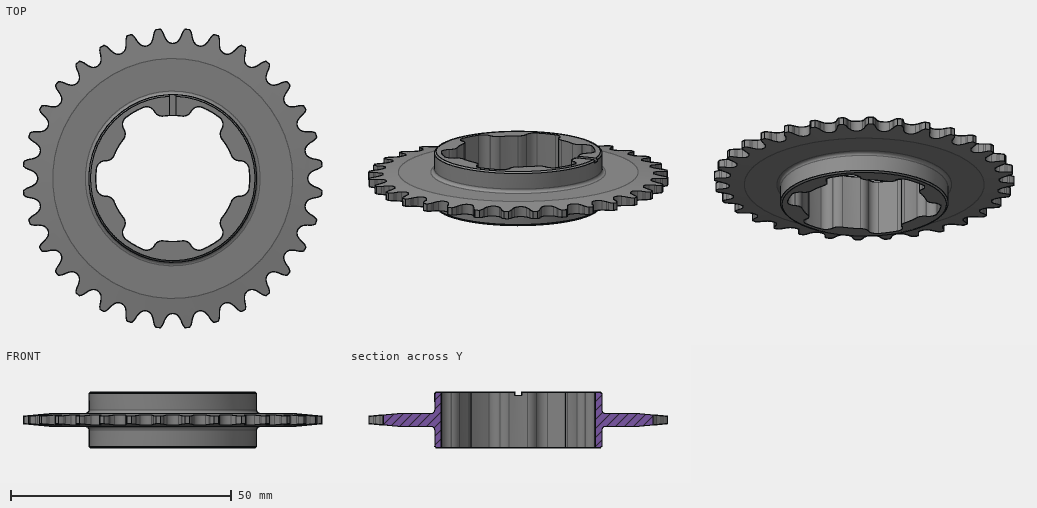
import math

import cadquery as cq

TOOTH_COUNT = 32
CHAIN_PITCH = 6.35
ROLLER_DIAMETER = 3.302
SEAT_CLEARANCE = 0.0381
OUTER_DIAMETER = 68.07

SEAT_RADIUS_RATIO = 0.5025
WORKING_OFFSET_RATIO = 0.8
TOPPING_OFFSET_RATIO = 1.4
SEAT_ANGLE = 35 + 60 / TOOTH_COUNT
WORKING_SWEEP = 18 - 56 / TOOTH_COUNT
TOPPING_ANGLE = 17 - 64 / TOOTH_COUNT
GAP_OVERCUT = 1.0

PLATE_THICKNESS = 3.0
TIP_THICKNESS = 1.7
TAPER_START_RADIUS = 27.25

HUB_HEIGHT = 12.7
HUB_RADIUS = 19.05
HUB_CHAMFER = 0.38
HUB_ROOT_FILLET = 0.8

LOBE_COUNT = 6
LAND_RADIUS = 14.3
LOBE_RADIUS = 17.45
LOBE_WIDTH = 8.0
LAND_FILLET = 2.0
LOBE_FILLET = 2.0
SLAB_LENGTH = 3 * LOBE_RADIUS
CORNER_TOLERANCE = 0.01

GROOVE_WIDTH = 1.5
GROOVE_DEPTH = 0.75

outer_radius = OUTER_DIAMETER / 2
half_pitch_angle = math.pi / TOOTH_COUNT
pitch_radius = CHAIN_PITCH / (2 * math.sin(half_pitch_angle))


def offset(point, distance, angle):
    """Point at a polar offset (angle in radians) from another point."""
    return (point[0] + distance * math.cos(angle), point[1] + distance * math.sin(angle))


def direction(start, end):
    """Angle of the line from start to end, from 0 to a full turn."""
    return math.atan2(end[1] - start[1], end[0] - start[0]) % math.tau


def circle_crossing(center, radius, big_radius):
    """Counter-clockwise crossing of a circle with the circle of big_radius about the origin."""
    center_distance = math.hypot(*center)
    cosine = (center_distance**2 + big_radius**2 - radius**2) / (2 * center_distance * big_radius)
    center_angle = math.atan2(center[1], center[0])
    return offset((0, 0), big_radius, center_angle + math.acos(cosine))


def tooth_gap():
    """Cutter for the gap between two teeth, centred on the +Y axis."""
    seat_angle = math.radians(SEAT_ANGLE)
    working_sweep = math.radians(WORKING_SWEEP)
    topping_angle = math.radians(TOPPING_ANGLE)
    seat_radius = SEAT_RADIUS_RATIO * ROLLER_DIAMETER + SEAT_CLEARANCE
    working_offset = WORKING_OFFSET_RATIO * ROLLER_DIAMETER
    working_radius = working_offset + seat_radius
    topping_offset = TOPPING_OFFSET_RATIO * ROLLER_DIAMETER
    flat_length = topping_offset * math.sin(topping_angle) - working_offset * math.sin(working_sweep)
    topping_radius = (
        working_offset * math.cos(working_sweep)
        + topping_offset * math.cos(topping_angle)
        - working_radius
    )

    seat_center = (0, pitch_radius)
    flank_angle = working_sweep - seat_angle
    working_center = offset(seat_center, working_offset, math.pi - seat_angle)
    topping_center = offset(seat_center, topping_offset, -half_pitch_angle)
    seat_bottom = offset(seat_center, seat_radius, -math.pi / 2)
    seat_end = offset(seat_center, seat_radius, -seat_angle)
    working_middle = offset(working_center, working_radius, flank_angle - working_sweep / 2)
    working_end = offset(working_center, working_radius, flank_angle)
    flat_end = offset(working_end, flat_length, flank_angle + math.pi / 2)
    tip = circle_crossing(topping_center, topping_radius, outer_radius)
    start_angle = direction(topping_center, flat_end)
    tip_angle = direction(topping_center, tip)
    topping_middle = offset(topping_center, topping_radius, (start_angle + tip_angle) / 2)
    opening_height = outer_radius + GAP_OVERCUT

    def mirrored(point):
        return (-point[0], point[1])

    return (
        cq.Workplane("XY", origin=(0, 0, -PLATE_THICKNESS))
        .moveTo(tip[0], opening_height)
        .lineTo(*tip)
        .threePointArc(topping_middle, flat_end)
        .lineTo(*working_end)
        .threePointArc(working_middle, seat_end)
        .threePointArc(seat_bottom, mirrored(seat_end))
        .threePointArc(mirrored(working_middle), mirrored(working_end))
        .lineTo(*mirrored(flat_end))
        .threePointArc(mirrored(topping_middle), mirrored(tip))
        .lineTo(-tip[0], opening_height)
        .close()
        .extrude(2 * PLATE_THICKNESS)
    )


def blank():
    """Solid of revolution: plate with a tapered rim and a hub on both sides."""
    half_plate = PLATE_THICKNESS / 2
    half_tip = TIP_THICKNESS / 2
    half_hub = HUB_HEIGHT / 2
    fillet_center = (HUB_RADIUS + HUB_ROOT_FILLET, half_plate + HUB_ROOT_FILLET)
    fillet_middle = offset(fillet_center, HUB_ROOT_FILLET, math.radians(225))
    upper_half = (
        cq.Workplane("XZ")
        .moveTo(0, 0)
        .lineTo(outer_radius, 0)
        .lineTo(outer_radius, half_tip)
        .lineTo(TAPER_START_RADIUS, half_plate)
        .lineTo(HUB_RADIUS + HUB_ROOT_FILLET, half_plate)
        .threePointArc(fillet_middle, (HUB_RADIUS, half_plate + HUB_ROOT_FILLET))
        .lineTo(HUB_RADIUS, half_hub - HUB_CHAMFER)
        .lineTo(HUB_RADIUS - HUB_CHAMFER, half_hub)
        .lineTo(0, half_hub)
        .close()
        .revolve(360, (0, 0, 0), (0, 1, 0))
    )
    return upper_half.union(upper_half.mirror("XY"))


def fillet_corners(body, corner_radius, fillet_radius):
    """Round the vertical edges lying at a given distance from the axis."""
    corners = [
        edge
        for edge in body.edges("|Z").vals()
        if abs(math.hypot(edge.Center().x, edge.Center().y) - corner_radius) < CORNER_TOLERANCE
    ]
    return body.newObject(corners).fillet(fillet_radius)


def lobed_bore():
    """Through cutter: round bore with parallel-sided lobes, all corners rounded."""
    bottom = cq.Workplane("XY", origin=(0, 0, -HUB_HEIGHT / 2))
    lobes = bottom.circle(LAND_RADIUS).extrude(HUB_HEIGHT)
    for index in range(LOBE_COUNT // 2):
        slab = bottom.rect(SLAB_LENGTH, LOBE_WIDTH).extrude(HUB_HEIGHT)
        lobes = lobes.union(slab.rotate((0, 0, 0), (0, 0, 1), index * 360 / LOBE_COUNT))
    lobes = lobes.intersect(bottom.circle(LOBE_RADIUS).extrude(HUB_HEIGHT))

    lobes = fillet_corners(lobes, LAND_RADIUS, LAND_FILLET)
    return fillet_corners(lobes, LOBE_RADIUS, LOBE_FILLET)


def index_groove():
    """Radial groove in the hub's top face on the +Y side."""
    return cq.Workplane("XY", origin=(0, 0, HUB_HEIGHT / 2 - GROOVE_DEPTH)).box(
        GROOVE_WIDTH, 2 * HUB_RADIUS, 2 * GROOVE_DEPTH, centered=(True, False, False)
    )


result = blank()
gap = tooth_gap()
for tooth in range(TOOTH_COUNT):
    result = result.cut(gap.rotate((0, 0, 0), (0, 0, 1), tooth * 360 / TOOTH_COUNT))
result = result.cut(lobed_bore()).cut(index_groove())